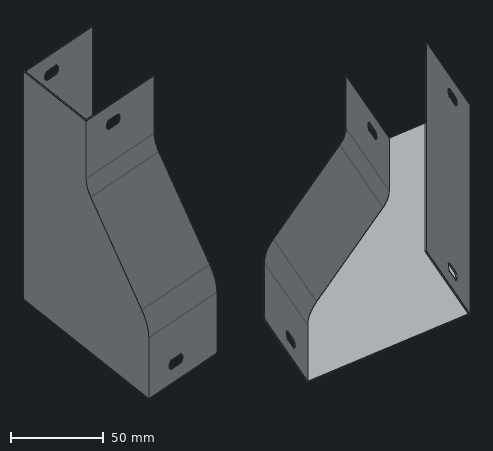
import cadquery as cq

WIDE_WIDTH = 100.0
NARROW_WIDTH = 50.0
DEPTH = 50.0
HEIGHT = 180.0
SHEET = 0.8

SLOPE_BOTTOM_Z = 58.0
SLOPE_TOP_Z = 128.0
LOWER_BEND_RADIUS = 30.0
UPPER_BEND_RADIUS = 20.0

SLOT_LENGTH = 10.0
SLOT_HEIGHT = 7.0
SLOT_Y = 20.0
SLOT_END_DISTANCE = 15.0


def make_body():
    """Solid block with the stepped outline, standing on the XY plane with its face plate at Y = 0."""
    body = (
        cq.Workplane("XZ")
        .polyline([
            (0, 0),
            (WIDE_WIDTH, 0),
            (WIDE_WIDTH, SLOPE_BOTTOM_Z),
            (NARROW_WIDTH, SLOPE_TOP_Z),
            (NARROW_WIDTH, HEIGHT),
            (0, HEIGHT),
        ])
        .close()
        .extrude(-DEPTH)
    )
    body = bend_edge(body, WIDE_WIDTH, SLOPE_BOTTOM_Z, LOWER_BEND_RADIUS)
    return bend_edge(body, NARROW_WIDTH, SLOPE_TOP_Z, UPPER_BEND_RADIUS)


def bend_edge(body, x, z, radius):
    """Round the edge along Y that passes through (x, z)."""
    return body.edges(cq.selectors.NearestToPointSelector((x, DEPTH / 2, z))).fillet(radius)


def hollow_out(body):
    """Leave the face plate and the two side walls; the back and both ends are open."""
    return body.faces(">Y or >Z or <Z").shell(-SHEET)


def make_slot(z):
    """Cutter along X for one slot: straight top and bottom, ends on a circle as wide as the slot."""
    disc = (
        cq.Workplane("YZ")
        .center(SLOT_Y, z)
        .circle(SLOT_LENGTH / 2)
        .extrude(WIDE_WIDTH)
    )
    band = (
        cq.Workplane("YZ")
        .center(SLOT_Y, z)
        .rect(SLOT_LENGTH, SLOT_HEIGHT)
        .extrude(WIDE_WIDTH)
    )
    return disc.intersect(band)


result = hollow_out(make_body())
for slot_z in (SLOT_END_DISTANCE, HEIGHT - SLOT_END_DISTANCE):
    result = result.cut(make_slot(slot_z))